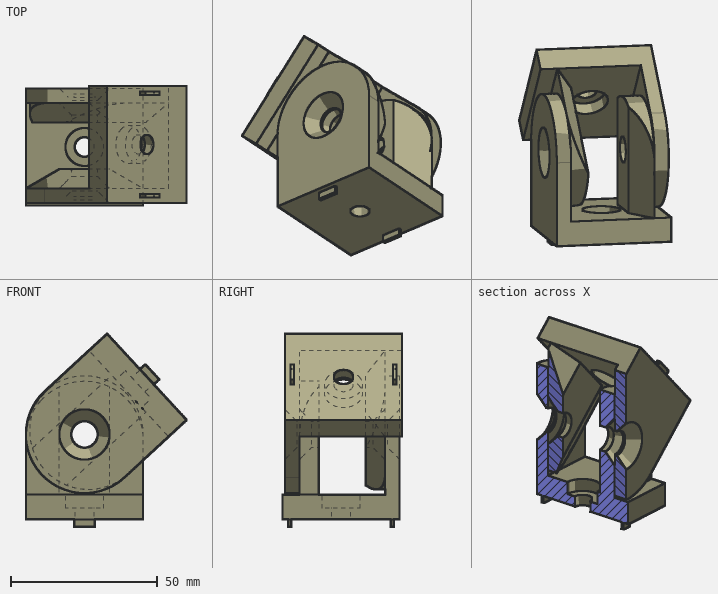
import cadquery as cq
import math

base_side = 40.0
base_thickness = 8.4
pivot_height = 29.0
opening_angle = 42.7
half_width = base_side / 2

wall_thickness = 5.0
edge_setback = 0.85
lug_thickness = 6.6
lug_drop = 1.85
lug_envelope_height = 2 * base_side
lug_taper_angle = 60

pivot_hole_diameter = 8.95
countersink_diameter = 17.2
countersink_angle = 90
screw_hole_diameter = 6.6
counterbore_diameter = 13.0
counterbore_depth = 4.5

tab_length = 7.05
tab_thickness = 1.1
tab_height = 2.5
tab_offset = 17.45

base_bottom = -pivot_height
base_top = base_bottom + base_thickness
wall_outer_y = (base_side - edge_setback) / 2
wall_inner_y = wall_outer_y - wall_thickness
lug_outer_y = -wall_inner_y
lug_inner_y = lug_outer_y + lug_thickness
base_center_y = wall_outer_y - half_width


def rounded_plate(outer_y, thickness, arc_center_z):
    """Upright plate with a semicircular top, reaching from outer_y toward -Y."""
    return (
        cq.Workplane("XZ", origin=(0, outer_y, 0))
        .moveTo(-half_width, base_bottom)
        .lineTo(half_width, base_bottom)
        .lineTo(half_width, arc_center_z)
        .threePointArc((0, arc_center_z + half_width), (-half_width, arc_center_z))
        .close()
        .extrude(thickness)
    )


def make_base():
    """Square plate with a screw hole counterbored from the inside."""
    plate = (
        cq.Workplane("XY", origin=(0, base_center_y, base_bottom))
        .rect(base_side, base_side)
        .extrude(base_thickness)
    )
    return (
        plate.faces(">Z").workplane(origin=(0, base_center_y, base_top))
        .cboreHole(screw_hole_diameter, counterbore_diameter, counterbore_depth)
    )


def make_wall():
    """Outer wall with a countersunk pivot hole."""
    plate = rounded_plate(wall_outer_y, wall_thickness, 0)
    return (
        plate.faces(">Y").workplane(origin=(0, wall_outer_y, 0))
        .cskHole(pivot_hole_diameter, countersink_diameter, countersink_angle)
    )


def make_lug():
    """Inner lug narrowing toward the middle, countersunk on its wide outer face."""
    inner_half_width = half_width - lug_thickness * math.tan(math.radians(lug_taper_angle))
    taper = (
        cq.Workplane("XY", origin=(0, 0, base_top))
        .polyline([
            (-half_width, lug_outer_y),
            (half_width, lug_outer_y),
            (inner_half_width, lug_inner_y),
            (-inner_half_width, lug_inner_y),
        ])
        .close()
        .extrude(lug_envelope_height)
    )
    plate = rounded_plate(lug_inner_y, lug_thickness, -lug_drop)
    lug = plate.intersect(taper)
    return (
        lug.faces("<Y").workplane(origin=(0, lug_outer_y, 0))
        .cskHole(pivot_hole_diameter, countersink_diameter, countersink_angle)
    )


def make_tabs():
    """Two locating tabs under the base."""
    return (
        cq.Workplane("XY", origin=(0, base_center_y, base_bottom))
        .pushPoints([(0, -tab_offset), (0, tab_offset)])
        .rect(tab_length, tab_thickness)
        .extrude(-tab_height)
    )


def make_bracket(turn_about_z, tilt_about_y):
    """One bracket, turned about Z and then tilted about the pivot axis."""
    bracket = make_base().union(make_wall()).union(make_lug()).union(make_tabs())
    return (
        bracket.rotate((0, 0, 0), (0, 0, 1), turn_about_z)
        .rotate((0, 0, 0), (0, 1, 0), tilt_about_y)
    )


bracket_poses = [(0, 0), (180, -90 - opening_angle)]
brackets = [make_bracket(turn, tilt) for turn, tilt in bracket_poses]

result = cq.Compound.makeCompound([bracket.val() for bracket in brackets])